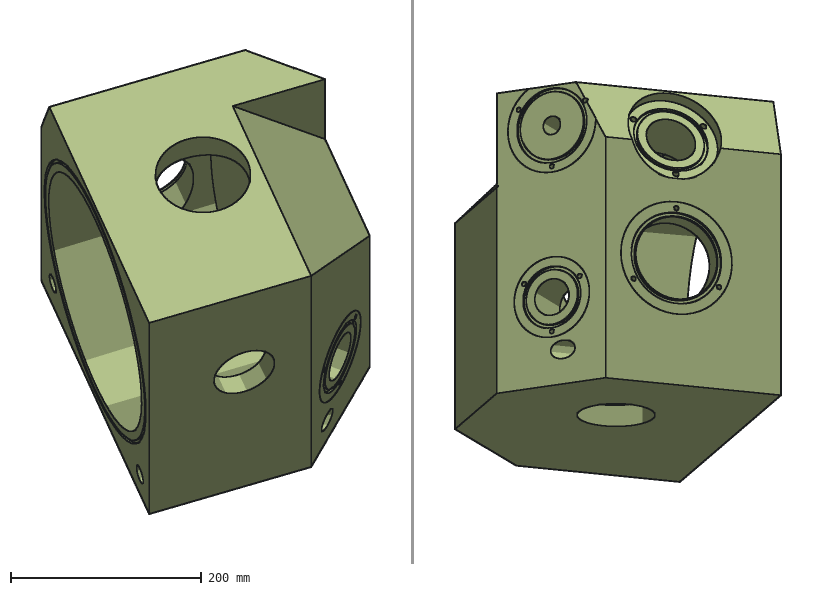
import cadquery as cq
import math

side = 330.0
depth = 285.0
back_chamfer = 103.5
chamfer_start = depth - back_chamfer
left_chamfer = 90.0
ear_width = left_chamfer
corner_cut_width = 24.8
corner_cut_height = 65.0
corner_angle = math.atan2(corner_cut_width, corner_cut_height)

cavity_radius = 142.0
cavity_center = side / 2
bore_depth = chamfer_start
cavity_seal_inner = 303.5
cavity_seal_outer = 311.0

seal_depth = 3.0
spotface_depth = 0.3
screw_depth = 10.0
screw_diameter = 5.0
one_screw_down = (30, 150, 270)
one_screw_up = (90, 210, 330)
port_reach = 99.0

large_bore = 54.0
large_seal = (74.0, 82.0)
large_flange = 103.0
large_screw_radius = 45.0
large_screws = (screw_diameter, large_screw_radius, one_screw_down)
slant_screw_diameter = 6.5
left_upper_bore = 20.0

side_bore = 90.0
side_seal = (92.0, 100.0)
side_flange = 123.5
side_screws = (screw_diameter, 54.8, one_screw_up)

left_lower_bore = 40.0
left_lower_seal = (60.0, 67.5)
left_lower_flange = 88.0
left_lower_screws = (screw_diameter, 37.5, one_screw_down)

mounting_diameter = 20.0
mounting_places = [(35.3, 38.0), (301.5, 34.0)]

opening_reach = side / 2
top_opening_diameter = 100.0
top_opening_place = (165.0, 120.8)
bottom_opening_diameter = 82.0
bottom_opening_place = (123.5, 141.2)
right_opening_diameter = 67.5
right_opening_place = (106.5, 197.7)

port_y = 116.0
side_port_z = 139.5
slant_port_floor_z = 274.5
slant_port_depth = 13.5
left_port_y = 239.5
left_upper_port_z = 286.0
left_lower_port_z = 97.5
right_port_y = 233.0
right_port_z = 104.5


def cylinder(diameter, length, start, direction):
    """Solid cylinder from a start point along a direction."""
    solid = cq.Solid.makeCylinder(diameter / 2, length, cq.Vector(*start), cq.Vector(*direction))
    return cq.Workplane(obj=solid)


def ring(inner, outer, length, start, direction):
    """Cutter for an annular seal groove."""
    return cylinder(outer, length, start, direction).cut(cylinder(inner, length, start, direction))


def make_block():
    outline = [
        (0, 0),
        (side, 0),
        (side, chamfer_start),
        (side - back_chamfer, depth),
        (left_chamfer, depth),
        (0, depth - left_chamfer),
    ]
    block = cq.Workplane("XY").polyline(outline).close().extrude(side)
    corner_cut = (
        cq.Workplane("XZ")
        .polyline([(0, side - corner_cut_height), (corner_cut_width, side), (0, side)])
        .close()
        .extrude(-depth)
    )
    top_slope = (
        cq.Workplane("YZ", origin=(ear_width, 0, 0))
        .polyline([(chamfer_start, side), (depth, side - back_chamfer), (depth, side)])
        .close()
        .extrude(side - ear_width)
    )
    return block.cut(corner_cut).cut(top_slope)


def make_cavity():
    dome_radius = math.hypot(cavity_radius, bore_depth)
    center = (cavity_center, 0, cavity_center)
    dome = cq.Workplane("XY").sphere(dome_radius).translate(center)
    return cylinder(2 * cavity_radius, dome_radius, center, (0, 1, 0)).intersect(dome)


def make_port(center, inward, bore, seal, flange, screws, floor=spotface_depth):
    """Cutter for a flanged port.

    seal is the inner and outer diameter of its groove; screws is the hole diameter,
    the bolt circle radius and the angles in the face, from horizontal.
    """
    axis = cq.Vector(*inward).normalized()
    across = cq.Vector(0, 0, 1).cross(axis)
    face = cq.Plane(origin=center, xDir=across.toTuple(), normal=axis.toTuple())
    on_floor = face.toWorldCoords((0, 0, floor)).toTuple()
    outside = face.toWorldCoords((0, 0, -floor)).toTuple()

    cutter = cylinder(bore, port_reach, on_floor, inward)
    cutter = cutter.union(cylinder(flange, 2 * floor, outside, inward))
    cutter = cutter.union(ring(*seal, seal_depth, on_floor, inward))
    hole_diameter, screw_radius, angles = screws
    for angle in angles:
        u = screw_radius * math.cos(math.radians(angle))
        v = screw_radius * math.sin(math.radians(angle))
        start = face.toWorldCoords((u, v, floor)).toTuple()
        cutter = cutter.union(cylinder(hole_diameter, screw_depth, start, inward))
    return cutter


def make_side_port():
    center = (0, port_y, side_port_z)
    return make_port(center, (1, 0, 0), side_bore, side_seal, side_flange, side_screws)


def make_slant_port():
    """Port square to the slanted face, its spotface sunk until it runs out on the -X face."""
    inward = (math.cos(corner_angle), 0, -math.sin(corner_angle))
    face_z = slant_port_floor_z + slant_port_depth * math.sin(corner_angle)
    face_x = (face_z - side + corner_cut_height) * math.tan(corner_angle)
    center = (face_x, port_y, face_z)
    screws = (slant_screw_diameter, large_screw_radius, one_screw_down)
    return make_port(center, inward, large_bore, large_seal, large_flange, screws, slant_port_depth)


def make_left_ports():
    x = left_port_y - (depth - left_chamfer)
    inward = (1, -1, 0)
    upper_center = (x, left_port_y, left_upper_port_z)
    lower_center = (x, left_port_y, left_lower_port_z)
    upper = make_port(upper_center, inward, left_upper_bore, large_seal, large_flange, large_screws)
    lower = make_port(
        lower_center, inward, left_lower_bore, left_lower_seal, left_lower_flange, left_lower_screws
    )
    return upper.union(lower)


def make_right_port():
    x = side + chamfer_start - right_port_y
    center = (x, right_port_y, right_port_z)
    return make_port(center, (-1, -1, 0), large_bore, large_seal, large_flange, large_screws)


def make_openings():
    """Plain round openings from the top, bottom and +X faces into the cavity."""
    top = cylinder(top_opening_diameter, opening_reach, (*top_opening_place, side), (0, 0, -1))
    bottom = cylinder(bottom_opening_diameter, opening_reach, (*bottom_opening_place, 0), (0, 0, 1))
    right = cylinder(right_opening_diameter, opening_reach, (side, *right_opening_place), (-1, 0, 0))
    return top.union(bottom).union(right)


result = make_block().cut(make_cavity())
front_center = (cavity_center, 0, cavity_center)
result = result.cut(ring(cavity_seal_inner, cavity_seal_outer, seal_depth, front_center, (0, 1, 0)))
for x, z in mounting_places:
    result = result.cut(cylinder(mounting_diameter, depth, (x, 0, z), (0, 1, 0)))
result = result.cut(make_openings())
for port in (make_side_port(), make_slant_port(), make_left_ports(), make_right_port()):
    result = result.cut(port)